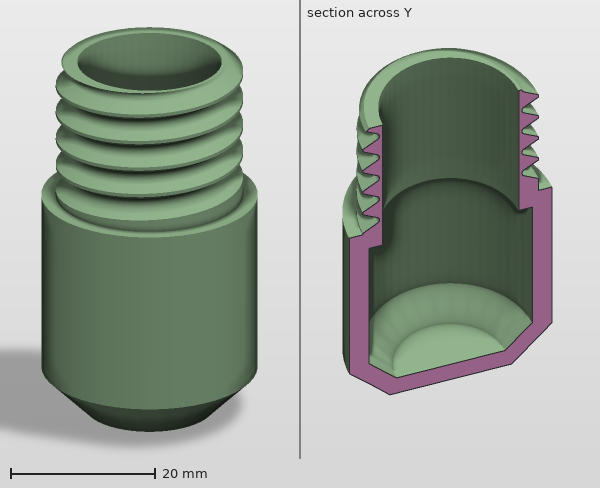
import cadquery as cq
import math

total_height = 52.0
body_diameter = 30.0
neck_diameter = 26.0
shoulder_height = 32.0

base_diameter = 18.0
base_cone_height = (body_diameter - base_diameter) / 2

mouth_chamfer = 1.0

mouth_diameter = 20.0
cavity_diameter = 24.0
floor_diameter = 16.0
wall = (body_diameter - cavity_diameter) / 2
cavity_cone_height = (cavity_diameter - floor_diameter) / 2

pitch = 4.0
crest_width = pitch / 8
flank_angle = math.radians(30)
sharp_height = pitch / 2 / math.tan(flank_angle)
root_rounding = sharp_height / 6
thread_depth = sharp_height * 7 / 8 - root_rounding
root_radius = neck_diameter / 2 - thread_depth
thread_start_height = shoulder_height + pitch / 2
thread_turns = 5
cutter_overlap = 0.25


def turned_shell():
    """Hollow body and neck, before threading."""
    profile = [
        (0, 0),
        (base_diameter / 2, 0),
        (body_diameter / 2, base_cone_height),
        (body_diameter / 2, shoulder_height),
        (neck_diameter / 2, shoulder_height),
        (neck_diameter / 2, total_height),
        (mouth_diameter / 2, total_height),
        (mouth_diameter / 2, shoulder_height - wall),
        (cavity_diameter / 2, shoulder_height - wall),
        (cavity_diameter / 2, wall + cavity_cone_height),
        (floor_diameter / 2, wall),
        (0, wall),
    ]
    return cq.Workplane("XZ").polyline(profile).close().revolve(360, (0, 0), (0, 1))


def groove_profile():
    """V groove section on the -X side, with an arc root tangent to both flanks."""
    outer_radius = neck_diameter / 2 + cutter_overlap
    half_mouth = (pitch - crest_width) / 2
    half_outer = half_mouth + cutter_overlap * math.tan(flank_angle)
    tangent_radius = root_radius + root_rounding * (1 - math.sin(flank_angle))
    half_root = root_rounding * math.cos(flank_angle)
    return (
        cq.Workplane("XZ", origin=(0, 0, thread_start_height))
        .moveTo(-outer_radius, -half_outer)
        .lineTo(-tangent_radius, -half_root)
        .threePointArc((-root_radius, 0), (-tangent_radius, half_root))
        .lineTo(-outer_radius, half_outer)
        .close()
    )


def helical_groove():
    helix = cq.Wire.makeHelix(pitch, pitch * thread_turns, root_radius)
    path = helix.rotate(cq.Vector(), cq.Vector(0, 0, 1), 180)
    path = path.translate(cq.Vector(0, 0, thread_start_height))
    return groove_profile().sweep(cq.Workplane(obj=path), isFrenet=True)


def groove_entry():
    """Straight tangential cut, towards +Y, where the thread begins."""
    return groove_profile().extrude(-neck_diameter / 2)


def mouth_chamfer_ring():
    """Ring cutter for the 45 degree chamfer around the top of the neck."""
    outer_radius = neck_diameter / 2 + cutter_overlap
    section = [
        (outer_radius, total_height - mouth_chamfer - cutter_overlap),
        (outer_radius, total_height + cutter_overlap),
        (neck_diameter / 2 - mouth_chamfer - cutter_overlap, total_height + cutter_overlap),
    ]
    return cq.Workplane("XZ").polyline(section).close().revolve(360, (0, 0), (0, 1))


result = turned_shell().cut(helical_groove()).cut(groove_entry()).cut(mouth_chamfer_ring())